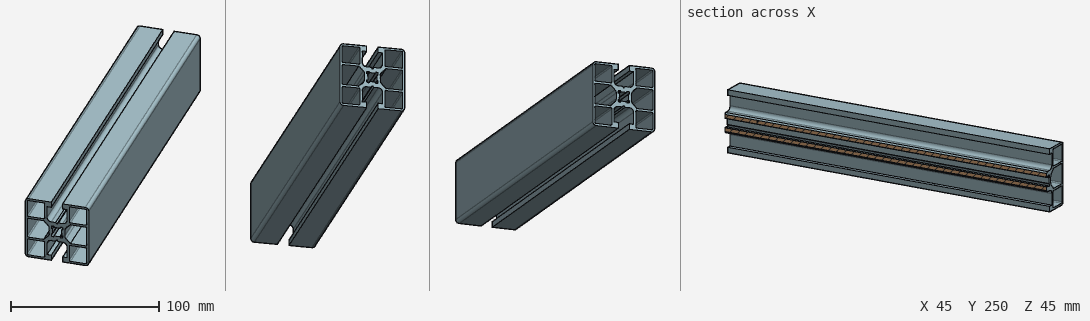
import cadquery as cq

length = 250.0
side = 45.0
corner_radius = 2.5
outer_wall = 1.5

slot_opening = 8.0
lip_thickness = 4.0
slot_width = 14.0
slot_floor = 7.2
slot_corner_radius = 3.0
groove_width = 2.0
groove_depth = 1.0

web = 1.8
core_half_width = 5.5
core_half_height = 3.2
core_radius = 3.0
cell_radius = 0.8

bore_half_width = 4.0
pad_height = 0.8
pad_half_width = 2.0
pad_slope = 0.5
bore_radius = 0.8

half = side / 2
cell_outer = half - outer_wall
cell_inner = slot_width / 2 + web
corner_cell = cell_outer - cell_inner


def section():
    """Plane of the bar's cross-section, through the origin."""
    return cq.Workplane("XZ")


def extrude(outline):
    """Extrude a section outline over the whole bar, centred on the origin."""
    return outline.extrude(length / 2, both=True)


def slot():
    """Upper T-slot, open at the top face."""
    lip_bottom = half - lip_thickness
    cavity = (
        section()
        .center(0, (slot_floor + lip_bottom) / 2)
        .rect(slot_width, lip_bottom - slot_floor)
    )
    cavity = extrude(cavity).edges("|Y and <Z").fillet(slot_corner_radius)
    opening = extrude(
        section()
        .center(0, (slot_floor + half) / 2)
        .rect(slot_opening, half - slot_floor)
    )
    groove = [
        (-groove_width / 2, slot_floor),
        (0, slot_floor - groove_depth),
        (groove_width / 2, slot_floor),
    ]
    v_groove = extrude(section().polyline(groove).close())
    return cavity.union(opening).union(v_groove)


def side_cell():
    """Middle cell on the +X side, tapering towards the core."""
    taper = slot_floor - core_half_height
    upper = [
        (core_half_width, core_half_height),
        (core_half_width + taper, slot_floor),
        (cell_outer, slot_floor),
    ]
    lower = [(x, -z) for x, z in reversed(upper)]
    cell = extrude(section().polyline(upper + lower).close())
    cell = cell.edges("|Y and >X").fillet(cell_radius)
    return cell.edges("|Y and <X").fillet(core_radius)


def corner_cells():
    """Four square cells, one in each corner."""
    centre = (cell_inner + cell_outer) / 2
    centres = [(x, z) for x in (-centre, centre) for z in (-centre, centre)]
    cells = section().pushPoints(centres).rect(corner_cell, corner_cell)
    return extrude(cells).edges("|Y").fillet(cell_radius)


def bore():
    """Square bore with a pad standing in from each of its four sides."""
    pad_top = bore_half_width - pad_height
    pad = [
        (-pad_half_width - pad_slope, bore_half_width),
        (-pad_half_width, pad_top),
        (pad_half_width, pad_top),
        (pad_half_width + pad_slope, bore_half_width),
    ]
    upper_pad = extrude(section().polyline(pad).close())
    hole = extrude(section().rect(2 * bore_half_width, 2 * bore_half_width))
    hole = hole.edges("|Y").fillet(bore_radius)
    for quarter in range(4):
        hole = hole.cut(upper_pad.rotate((0, 0, 0), (0, 1, 0), 90 * quarter))
    return hole


bar = extrude(section().rect(side, side)).edges("|Y").fillet(corner_radius)
upper_slot = slot()
right_cell = side_cell()

result = (
    bar.cut(corner_cells())
    .cut(bore())
    .cut(upper_slot)
    .cut(upper_slot.mirror("XY"))
    .cut(right_cell)
    .cut(right_cell.mirror("YZ"))
)